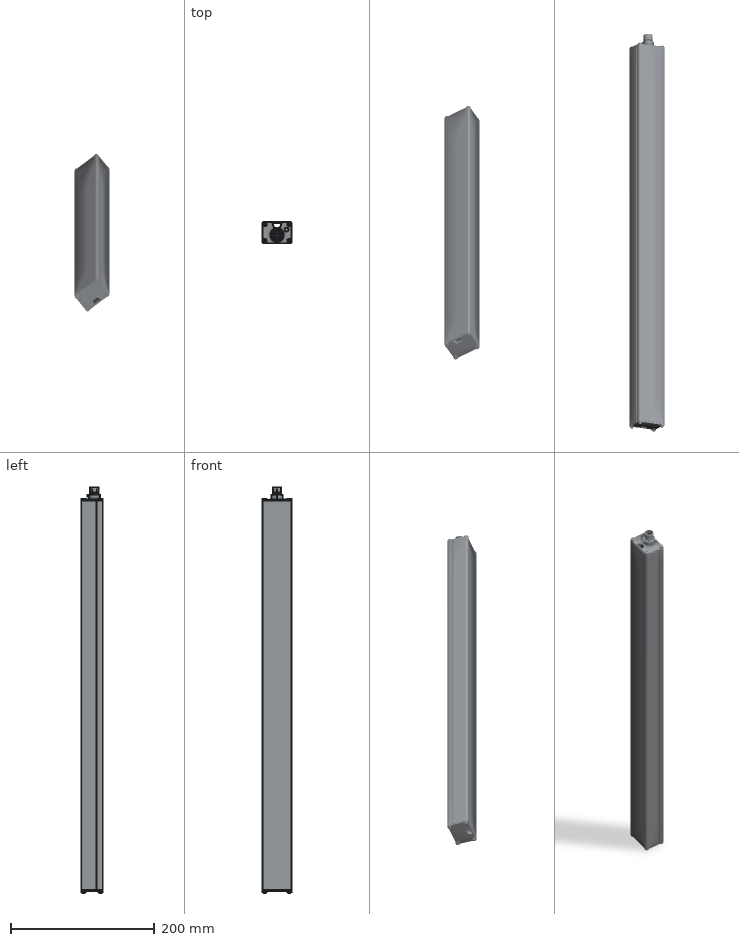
import cadquery as cq

WIDTH = 41.0
DEPTH = 30.0
TOTAL_HEIGHT = 566.27
CORNER_RADIUS = 2.85
BODY_LENGTH = 542.5

SIDE_GROOVE_Y = -6.3
SIDE_GROOVE_WIDTH = 1.0
SIDE_GROOVE_DEPTH = 0.5

CAP_THICKNESS = 1.7
CAP_INSET = 0.5
CAP_CORNER_RADIUS = 1.2

CHANNEL_OUTER_Y = 12.9
CHANNEL_INNER_Y = 7.0
CHANNEL_OUTER_WIDTH = 13.0
CHANNEL_INNER_WIDTH = 7.5

SCREW_X = 17.2
SCREW_Y = 11.9
HEAD_DIAMETER = 6.2
HEAD_HEIGHT = 1.3
SOCKET_DIAMETER = 3.0
SOCKET_DEPTH = 0.8
TIP_DIAMETER = 3.0
TIP_HEIGHT = 1.5

CONNECTOR_Y = -3.4
BASE_RING_DIAMETER = 19.0
BASE_RING_HEIGHT = 0.3
COLLAR_DIAMETER = 16.5
COLLAR_HEIGHT = 6.5
COLLAR_NOTCH_WIDTH = 0.4
COLLAR_NOTCH_DEPTH = 0.5
PLUG_DIAMETER = 12.5
THREAD_ROOT_DIAMETER = 11.7
THREAD_GROOVE_WIDTH = 0.6
THREAD_PITCH = 1.2
THREAD_GROOVE_COUNT = 3
GRIP_GROOVE_COUNT = 6
GRIP_START_ANGLE = 90
GRIP_GROOVE_DIAMETER = 0.5
GRIP_HEIGHT = 2.5
TOP_RIM_HEIGHT = 3.0
TOP_RIM_CHAMFER = 0.5
PLUG_BORE_DIAMETER = 10.0
PLUG_BORE_DEPTH = 8.0
PIN_COUNT = 4
PIN_START_ANGLE = 45
PIN_DIAMETER = 1.0
PIN_CIRCLE_DIAMETER = 5.0
PIN_LENGTH = 6.0
KEY_WIDTH = 2.0
KEY_LENGTH = 1.5
KEY_HEIGHT = 2.5

LAMP_X = 13.3
LAMP_Y = 4.2
LAMP_DIAMETER = 5.6
LAMP_HEIGHT = 0.5

CAP_TOP = BODY_LENGTH + CAP_THICKNESS
COLLAR_TOP = CAP_TOP + COLLAR_HEIGHT
BOTTOM = -CAP_THICKNESS - HEAD_HEIGHT - TIP_HEIGHT
PLUG_TOP = TOTAL_HEIGHT + BOTTOM
PLUG_HEIGHT = PLUG_TOP - COLLAR_TOP


def rounded_block(width, depth, radius, z, height):
    block = cq.Workplane("XY").workplane(offset=z).rect(width, depth).extrude(height)
    return block.edges("|Z").fillet(radius)


def cylinder(x, y, z, diameter, height):
    return cq.Workplane("XY", origin=(x, y, z)).circle(diameter / 2).extrude(height)


def make_body():
    body = rounded_block(WIDTH, DEPTH, CORNER_RADIUS, 0, BODY_LENGTH)
    grooves = (
        cq.Workplane("XY")
        .pushPoints([(-WIDTH / 2, SIDE_GROOVE_Y), (WIDTH / 2, SIDE_GROOVE_Y)])
        .rect(2 * SIDE_GROOVE_DEPTH, SIDE_GROOVE_WIDTH)
        .extrude(BODY_LENGTH)
    )
    return body.cut(grooves)


def make_cap(z):
    return rounded_block(
        WIDTH - 2 * CAP_INSET,
        DEPTH - 2 * CAP_INSET,
        CAP_CORNER_RADIUS,
        z,
        CAP_THICKNESS,
    )


def make_channel():
    return (
        cq.Workplane("XY", origin=(0, 0, -CAP_THICKNESS))
        .polyline([
            (-CHANNEL_OUTER_WIDTH / 2, CHANNEL_OUTER_Y),
            (CHANNEL_OUTER_WIDTH / 2, CHANNEL_OUTER_Y),
            (CHANNEL_INNER_WIDTH / 2, CHANNEL_INNER_Y),
            (-CHANNEL_INNER_WIDTH / 2, CHANNEL_INNER_Y),
        ])
        .close()
        .extrude(BODY_LENGTH + 2 * CAP_THICKNESS)
    )


def add_screws(part):
    for x in (-SCREW_X, SCREW_X):
        for y in (-SCREW_Y, SCREW_Y):
            socket_floor = CAP_TOP + HEAD_HEIGHT - SOCKET_DEPTH
            part = part.union(cylinder(x, y, CAP_TOP, HEAD_DIAMETER, HEAD_HEIGHT))
            part = part.cut(cylinder(x, y, socket_floor, SOCKET_DIAMETER, SOCKET_DEPTH))
            part = part.union(cylinder(x, y, BOTTOM + TIP_HEIGHT, HEAD_DIAMETER, HEAD_HEIGHT))
            part = part.union(cylinder(x, y, BOTTOM, TIP_DIAMETER, TIP_HEIGHT))
    return part


def connector_cylinder(z, diameter, height):
    return cylinder(0, CONNECTOR_Y, z, diameter, height)


def make_collar():
    base_ring = connector_cylinder(CAP_TOP, BASE_RING_DIAMETER, BASE_RING_HEIGHT)
    collar = connector_cylinder(CAP_TOP, COLLAR_DIAMETER, COLLAR_HEIGHT)
    key_reach = COLLAR_DIAMETER / 2 + KEY_LENGTH
    key = (
        cq.Workplane("XY", origin=(0, CONNECTOR_Y + key_reach / 2, COLLAR_TOP - KEY_HEIGHT))
        .rect(KEY_WIDTH, key_reach)
        .extrude(KEY_HEIGHT)
    )
    notch = (
        cq.Workplane("XY", origin=(0, CONNECTOR_Y - COLLAR_DIAMETER / 2, CAP_TOP + BASE_RING_HEIGHT))
        .rect(COLLAR_NOTCH_WIDTH, 2 * COLLAR_NOTCH_DEPTH)
        .extrude(COLLAR_HEIGHT)
    )
    return collar.union(key).cut(notch).union(base_ring)


def cut_thread_grooves(plug):
    for index in range(THREAD_GROOVE_COUNT):
        z = COLLAR_TOP + THREAD_PITCH * (index + 0.5)
        groove = connector_cylinder(z, PLUG_DIAMETER, THREAD_GROOVE_WIDTH)
        root = connector_cylinder(z, THREAD_ROOT_DIAMETER, THREAD_GROOVE_WIDTH)
        plug = plug.cut(groove.cut(root))
    return plug


def cut_grip_grooves(plug):
    grooves = (
        cq.Workplane("XY", origin=(0, CONNECTOR_Y, PLUG_TOP - TOP_RIM_HEIGHT - GRIP_HEIGHT))
        .polarArray(PLUG_DIAMETER / 2, GRIP_START_ANGLE, 360, GRIP_GROOVE_COUNT)
        .circle(GRIP_GROOVE_DIAMETER / 2)
        .extrude(GRIP_HEIGHT)
    )
    return plug.cut(grooves)


def make_plug():
    plug = connector_cylinder(COLLAR_TOP, PLUG_DIAMETER, PLUG_HEIGHT)
    plug = plug.faces(">Z").edges().chamfer(TOP_RIM_CHAMFER)
    plug = cut_grip_grooves(cut_thread_grooves(plug))
    bore_floor = PLUG_TOP - PLUG_BORE_DEPTH
    bore = connector_cylinder(bore_floor, PLUG_BORE_DIAMETER, PLUG_BORE_DEPTH)
    pins = (
        cq.Workplane("XY", origin=(0, CONNECTOR_Y, bore_floor))
        .polarArray(PIN_CIRCLE_DIAMETER / 2, PIN_START_ANGLE, 360, PIN_COUNT)
        .circle(PIN_DIAMETER / 2)
        .extrude(PIN_LENGTH)
    )
    return plug.cut(bore).union(pins)


housing = make_body().union(make_cap(-CAP_THICKNESS)).union(make_cap(BODY_LENGTH))
housing = housing.cut(make_channel())
housing = add_screws(housing)
lamp = cylinder(LAMP_X, LAMP_Y, CAP_TOP, LAMP_DIAMETER, LAMP_HEIGHT)
result = housing.union(make_collar()).union(make_plug()).union(lamp)